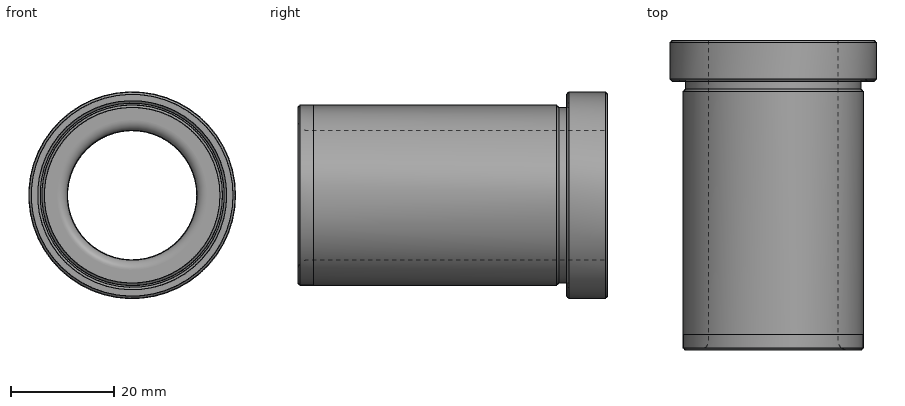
import cadquery as cq

length = 60.0
head_radius = 40.0 / 2
head_thickness = 8.0
head_chamfer = 0.5
body_radius = 35.0 / 2
relief_radius = 34.0 / 2
relief_width = 2.0
undercut_outer_radius = 18.3
undercut_floor_radius = 17.8
undercut_depth = 0.5
lead_length = 3.0
lead_reduction = 0.01
tip_chamfer = 0.5
bore_radius = 25.0 / 2
bore_entry_radius = 2.0

head_start = length - head_thickness
relief_start = head_start - relief_width
undercut_floor = head_start + undercut_depth
relief_step = body_radius - relief_radius
lead_radius = body_radius - lead_reduction


def bush_profile():
    """Half section of the bush: X is the radius, Y is the axial position."""
    return (
        cq.Workplane("XY")
        .moveTo(bore_radius + bore_entry_radius, 0)
        .lineTo(lead_radius - tip_chamfer, 0)
        .lineTo(lead_radius, tip_chamfer)
        .lineTo(lead_radius, lead_length)
        .lineTo(body_radius, lead_length)
        .lineTo(body_radius, relief_start)
        .lineTo(relief_radius, relief_start + relief_step)
        .lineTo(relief_radius, undercut_floor)
        .lineTo(undercut_floor_radius, undercut_floor)
        .lineTo(undercut_outer_radius, head_start)
        .lineTo(head_radius - head_chamfer, head_start)
        .lineTo(head_radius, head_start + head_chamfer)
        .lineTo(head_radius, length - head_chamfer)
        .lineTo(head_radius - head_chamfer, length)
        .lineTo(bore_radius, length)
        .lineTo(bore_radius, bore_entry_radius)
        .radiusArc((bore_radius + bore_entry_radius, 0), -bore_entry_radius)
        .close()
    )


result = bush_profile().revolve(360, (0, 0, 0), (0, 1, 0))